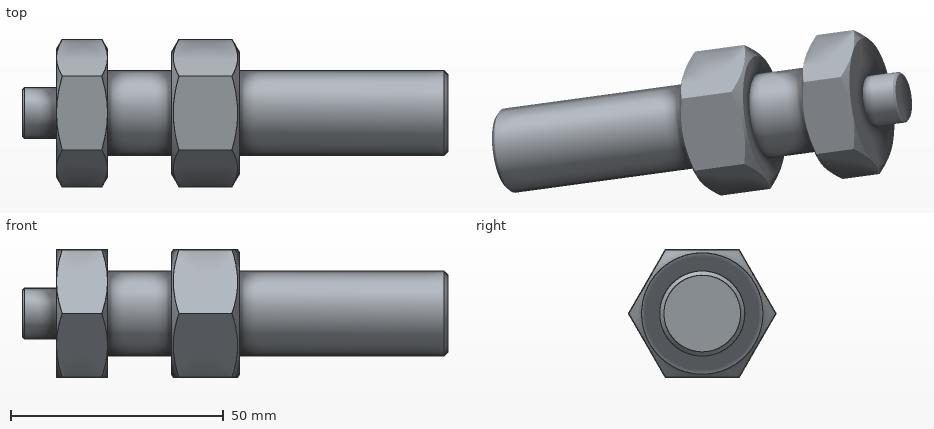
import cadquery as cq
import math

total_length = 100.0
rod_diameter = 20.0
rod_end_chamfer = 1.0
pin_diameter = 12.0
pin_length = 8.0
pin_tip_chamfer = 0.5

across_flats = 30.0
hex_sides = 6
across_corners = across_flats / math.cos(math.pi / hex_sides)
nut_chamfer_angle = 30.0
envelope_margin = 1.0

head_nut_start = pin_length
head_nut_thickness = 12.0
head_nut_face_diameter = across_flats

lock_nut_start = 35.0
lock_nut_thickness = 16.0
lock_nut_face_diameter = 28.5


def cylinder_along_x(start, length, diameter):
    """Cylinder on the X axis beginning at X = start."""
    return cq.Workplane("YZ", origin=(start, 0, 0)).circle(diameter / 2).extrude(length)


def hex_nut(start, thickness, face_diameter):
    """Solid hexagon whose corners are cut back by a cone at both end faces."""
    hexagon = (
        cq.Workplane("YZ", origin=(start, 0, 0))
        .polygon(hex_sides, across_corners)
        .extrude(thickness)
    )
    face_radius = face_diameter / 2
    corner_radius = across_corners / 2
    envelope_radius = corner_radius + envelope_margin
    envelope_setback = (envelope_radius - face_radius) * math.tan(math.radians(nut_chamfer_angle))
    end = start + thickness
    envelope = (
        cq.Workplane("XY")
        .moveTo(start, 0)
        .lineTo(start, face_radius)
        .lineTo(start + envelope_setback, envelope_radius)
        .lineTo(end - envelope_setback, envelope_radius)
        .lineTo(end, face_radius)
        .lineTo(end, 0)
        .close()
        .revolve(360, (0, 0, 0), (1, 0, 0))
    )
    return hexagon.intersect(envelope)


pin = cylinder_along_x(0, pin_length, pin_diameter).faces("<X").chamfer(pin_tip_chamfer)
rod = (
    cylinder_along_x(pin_length, total_length - pin_length, rod_diameter)
    .faces(">X")
    .chamfer(rod_end_chamfer)
)
head_nut = hex_nut(head_nut_start, head_nut_thickness, head_nut_face_diameter)
lock_nut = hex_nut(lock_nut_start, lock_nut_thickness, lock_nut_face_diameter)

result = rod.union(pin).union(head_nut).union(lock_nut)